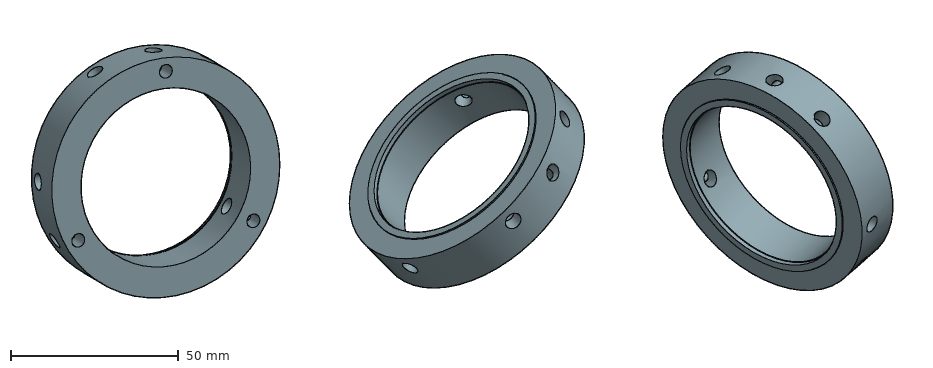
import cadquery as cq
import math

outer_diameter = 74
bore_diameter = 55.0
total_width = 16.0
left_face = -total_width / 2

lip_diameter = 60.0
lip_height = 0.5
relief_diameter = 55.5
relief_depth = 1.5

hole_diameter = 5.1
blind_count = 6
blind_depth = 5.0
drill_point_angle = 118
blind_x = left_face + 5.5
through_count = 3
through_x = left_face + 6.5
through_start_angle = 90

axial_diameter = 4.15
axial_radius = 32.8


def cylinder_along_x(diameter, start_x, length):
    return cq.Workplane("YZ", origin=(start_x, 0, 0)).circle(diameter / 2).extrude(length)


def place_around_ring(tool, x, angle):
    """Turn a tool lying along +Y about the X axis and move it to x."""
    return tool.rotate((0, 0, 0), (1, 0, 0), angle).translate((x, 0, 0))


def make_blind_drill():
    """Drill along +Y with a conical point aimed at the ring axis."""
    radius = hole_diameter / 2
    point_length = radius / math.tan(math.radians(drill_point_angle / 2))
    shoulder = outer_diameter / 2 - blind_depth
    profile = (
        cq.Workplane("XY")
        .moveTo(0, shoulder - point_length)
        .lineTo(radius, shoulder)
        .lineTo(radius, outer_diameter / 2 + radius)
        .lineTo(0, outer_diameter / 2 + radius)
        .close()
    )
    return profile.revolve(360, (0, 0, 0), (0, 1, 0))


def make_through_drill():
    """Cylinder along +Y from the ring axis past the outer surface."""
    return cq.Workplane("XZ").circle(hole_diameter / 2).extrude(-outer_diameter)


def make_axial_drill():
    """Cylinder along +X from the through hole centre to beyond the +X face."""
    return cylinder_along_x(axial_diameter, 0, total_width).translate((0, axial_radius, 0))


body = cylinder_along_x(outer_diameter, left_face + lip_height, total_width - lip_height)
body = body.union(cylinder_along_x(lip_diameter, left_face, total_width / 2))

body = body.cut(cylinder_along_x(bore_diameter, left_face, total_width))
body = body.cut(cylinder_along_x(relief_diameter, left_face, relief_depth))

blind_drill = make_blind_drill()
for i in range(blind_count):
    body = body.cut(place_around_ring(blind_drill, blind_x, i * 360 / blind_count))

through_drill = make_through_drill()
axial_drill = make_axial_drill()
for i in range(through_count):
    angle = through_start_angle + i * 360 / through_count
    body = body.cut(place_around_ring(through_drill, through_x, angle))
    body = body.cut(place_around_ring(axial_drill, through_x, angle))

result = body